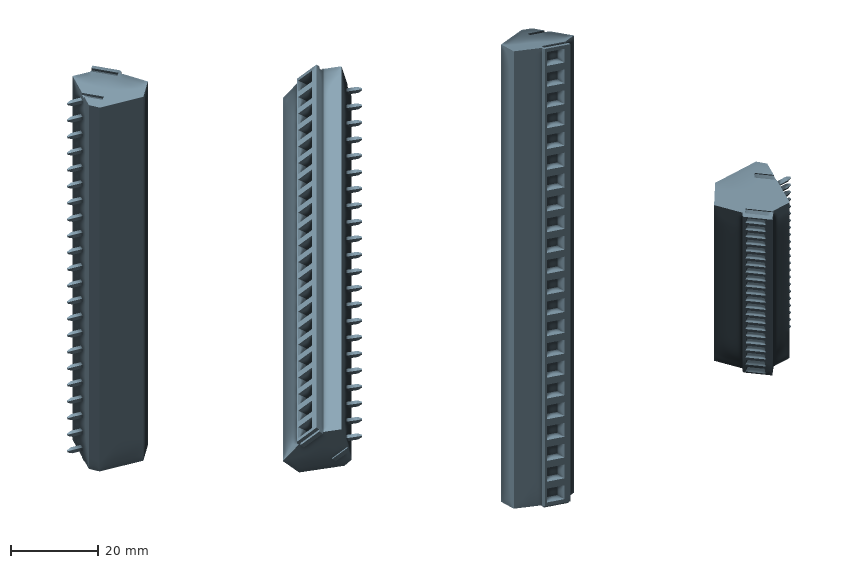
import cadquery as cq
import math

total_width = 14.2
total_depth = 19.0
total_height = 112.4
pole_count = 22
pole_pitch = 5.08
body_height = pole_count * pole_pitch
tongue_height = total_height - body_height

pin_length = 3.5
front_y = pin_length
back_peak_x = 9.5
right_top_y = 16.2
right_bottom_y = 5.5
front_right_x = 12.5
left_x = 1.8

ledge_angle = 55
ledge_low_y = 9
ledge_length = 7.0
ledge_step = 0.95
ledge_chamfer = 0.3

entry_start = 1.6
entry_end = 6.2
entry_height = 3.4
funnel_depth = 1.7
funnel_end_inset = 0.6
funnel_side_inset = 0.3
socket_depth = 0.7

key_width = 1.1
groove_depth = tongue_height
ledge_key_inset = 0.9
ledge_key_length = 6.4
front_key_x = 8.0
front_key_length = 5.2
front_tongue_height = 0.3

pin_x = 7.8
pin_width = 1.0
pin_height = 1.0
pin_taper_length = 1.0
pin_tip_scale = 0.4
pin_root = 1.1

along = cq.Vector(math.cos(math.radians(ledge_angle)), math.sin(math.radians(ledge_angle)), 0)
inward = cq.Vector(along.y, -along.x, 0)
ledge_corner = cq.Vector(0, ledge_low_y, 0)
pole_heights = [tongue_height + (i + 0.5) * pole_pitch for i in range(pole_count)]


def ledge_point(distance, depth):
    """Point at a distance up the ledge face and a depth behind it."""
    return ledge_corner + along * distance + inward * depth


def prism(points, bottom, height):
    """Vertical prism over a closed outline."""
    outline = [(p.x, p.y) for p in points]
    return cq.Workplane("XY").workplane(offset=bottom).polyline(outline).close().extrude(height)


def make_housing():
    ledge_foot = ledge_point(0, left_x / inward.x)
    outline = [
        cq.Vector(left_x, front_y, 0),
        cq.Vector(front_right_x, front_y, 0),
        cq.Vector(total_width, right_bottom_y, 0),
        cq.Vector(total_width, right_top_y, 0),
        cq.Vector(back_peak_x, total_depth, 0),
        ledge_point(ledge_length, ledge_step),
        ledge_point(ledge_length, ledge_chamfer),
        ledge_point(ledge_length - ledge_chamfer, 0),
        ledge_corner,
        ledge_foot,
    ]
    return prism(outline, tongue_height, body_height)


def ledge_key_outline():
    outer = ledge_key_inset
    inner = ledge_key_inset + key_width
    return [
        ledge_point(0, outer),
        ledge_point(ledge_key_length, outer),
        ledge_point(ledge_key_length, inner),
        ledge_point(0, inner),
    ]


def front_key_outline():
    left_foot = cq.Vector(front_key_x, front_y, 0)
    right_foot = cq.Vector(front_key_x + key_width / inward.x, front_y, 0)
    left_end = left_foot + along * front_key_length
    return [left_foot, left_end, left_end + inward * key_width, right_foot]


def make_entry(z):
    """Pocket normal to the ledge face that narrows to a straight socket."""
    center = ledge_point((entry_start + entry_end) / 2, 0)
    plane = cq.Plane(origin=(center.x, center.y, z), xDir=along, normal=inward)
    mouth_length = entry_end - entry_start
    socket_length = mouth_length - 2 * funnel_end_inset
    socket_height = entry_height - 2 * funnel_side_inset
    funnel = (
        cq.Workplane(plane)
        .rect(mouth_length, entry_height)
        .workplane(offset=funnel_depth)
        .rect(socket_length, socket_height)
        .loft(combine=True)
    )
    socket = (
        cq.Workplane(plane)
        .workplane(offset=funnel_depth)
        .rect(socket_length, socket_height)
        .extrude(socket_depth)
    )
    return funnel.union(socket)


def make_pin(z):
    """Square pin standing out of the front face, narrowed to a blunt tip."""
    plane = cq.Plane(origin=(pin_x, front_y + pin_root, z), xDir=(1, 0, 0), normal=(0, -1, 0))
    straight = pin_root + pin_length - pin_taper_length
    shank = cq.Workplane(plane).rect(pin_width, pin_height).extrude(straight)
    tip = (
        cq.Workplane(plane)
        .workplane(offset=straight)
        .rect(pin_width, pin_height)
        .workplane(offset=pin_taper_length)
        .rect(pin_width * pin_tip_scale, pin_height * pin_tip_scale)
        .loft(combine=True)
    )
    return shank.union(tip)


result = make_housing()
keys = [
    (ledge_key_outline(), tongue_height),
    (front_key_outline(), front_tongue_height),
]
for key_outline, key_height in keys:
    result = result.cut(prism(key_outline, total_height - groove_depth, groove_depth))
    result = result.union(prism(key_outline, tongue_height - key_height, key_height))
for pole_z in pole_heights:
    result = result.cut(make_entry(pole_z))
    result = result.union(make_pin(pole_z))